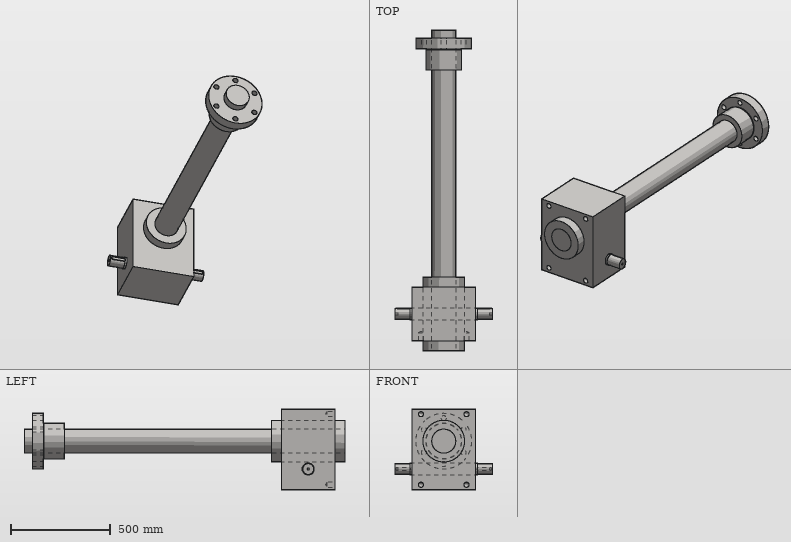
import cadquery as cq
import math

housing_width = 319.0
housing_depth = 270.0
housing_height = 405.0
housing_top_z = 161.0
housing_bottom_z = housing_top_z - housing_height

fixing_hole_dia = 25.0
fixing_hole_depth = 40.0
drill_point_angle = 118
fixing_spacing_x = 229.0
fixing_edge_margin = 25.0

hub_dia = 210.0
hub_projection = 50.0
hub_length = housing_depth + 2 * hub_projection

spindle_dia = 120.0
spindle_length = 1610.0
spindle_start_y = -hub_projection
spindle_end_y = spindle_start_y + spindle_length

nut_dia = 180.0
nut_body_length = 106.0
nut_flange_dia = 280.0
nut_flange_thickness = 55.0
nut_end_gap = 40.0
nut_hole_dia = 25.0
nut_hole_circle_dia = 230.0
nut_hole_count = 6
nut_first_hole_angle = 30

nut_relief_dia = 177.0
nut_relief_width = 5.0

shaft_length = 490.0
shaft_dia = 55.0
shaft_collar_dia = 60.0
shaft_collar_projection = 10.0
shaft_collar_length = housing_width + 2 * shaft_collar_projection
shaft_axis_y = housing_depth / 2
shaft_axis_z = -140.0
centre_hole_dia = 10.1
centre_hole_depth = 16.0

key_length = 72.0
key_width = 16.0
key_height = 10.0
key_top_projection = 3.0
key_end_gap = 5.0


def cylinder_y(diameter, start_y, length):
    """Cylinder along +Y on the spindle axis."""
    base = cq.Workplane("XZ", origin=(0, start_y, 0))
    return base.circle(diameter / 2).extrude(-length)


def cylinder_x(diameter, length):
    """Cylinder on the drive shaft axis, centred on X = 0."""
    base = cq.Workplane("YZ", origin=(0, shaft_axis_y, shaft_axis_z))
    return base.circle(diameter / 2).extrude(length / 2, both=True)


def drill_point(diameter):
    """Cone with its base at Y = 0 and its tip toward +Y."""
    tip_depth = diameter / 2 / math.tan(math.radians(drill_point_angle / 2))
    return cq.Workplane(cq.Solid.makeCone(diameter / 2, 0, tip_depth, dir=cq.Vector(0, 1, 0)))


def make_spindle():
    return cylinder_y(spindle_dia, spindle_start_y, spindle_length)


def make_hub():
    sleeve = cylinder_y(hub_dia, -hub_projection, hub_length)
    return sleeve.cut(make_spindle())


def make_shaft():
    shaft = cylinder_x(shaft_dia, shaft_length).union(cylinder_x(shaft_collar_dia, shaft_collar_length))
    key_x = shaft_length / 2 - key_end_gap - key_length / 2
    key_top_y = shaft_axis_y + shaft_dia / 2 + key_top_projection
    for x in (-key_x, key_x):
        key = cq.Workplane("XZ", origin=(x, key_top_y, shaft_axis_z))
        shaft = shaft.union(key.slot2D(key_length, key_width).extrude(key_height))
    for end in ("<X", ">X"):
        shaft = shaft.faces(end).workplane(centerOption="CenterOfMass").hole(centre_hole_dia, centre_hole_depth)
    return shaft


def make_housing():
    block = cq.Workplane("XY").box(housing_width, housing_depth, housing_height, centered=(True, False, False))
    block = block.translate((0, 0, housing_bottom_z))
    for z in (housing_bottom_z + fixing_edge_margin, housing_top_z - fixing_edge_margin):
        for x in (-fixing_spacing_x / 2, fixing_spacing_x / 2):
            point = drill_point(fixing_hole_dia).translate((0, fixing_hole_depth, 0))
            hole = cylinder_y(fixing_hole_dia, 0, fixing_hole_depth).union(point)
            block = block.cut(hole.translate((x, 0, z)))
    block = block.cut(cylinder_y(hub_dia, 0, housing_depth))
    return block.cut(cylinder_x(shaft_collar_dia, housing_width))


def make_nut():
    flange_y = spindle_end_y - nut_end_gap - nut_flange_thickness
    nut = cylinder_y(nut_flange_dia, flange_y, nut_flange_thickness)
    nut = nut.union(cylinder_y(nut_relief_dia, flange_y - nut_relief_width, nut_relief_width))
    nut = nut.union(cylinder_y(nut_dia, flange_y - nut_body_length, nut_body_length - nut_relief_width))
    for i in range(nut_hole_count):
        angle = math.radians(nut_first_hole_angle + i * 360 / nut_hole_count)
        x = nut_hole_circle_dia / 2 * math.cos(angle)
        z = nut_hole_circle_dia / 2 * math.sin(angle)
        hole = cylinder_y(nut_hole_dia, flange_y, nut_flange_thickness)
        nut = nut.cut(hole.translate((x, 0, z)))
    return nut.cut(make_spindle())


spindle = make_spindle()
hub = make_hub()
housing = make_housing()
shaft = make_shaft()
nut = make_nut()

result = cq.Compound.makeCompound([housing.val(), hub.val(), spindle.val(), shaft.val(), nut.val()])